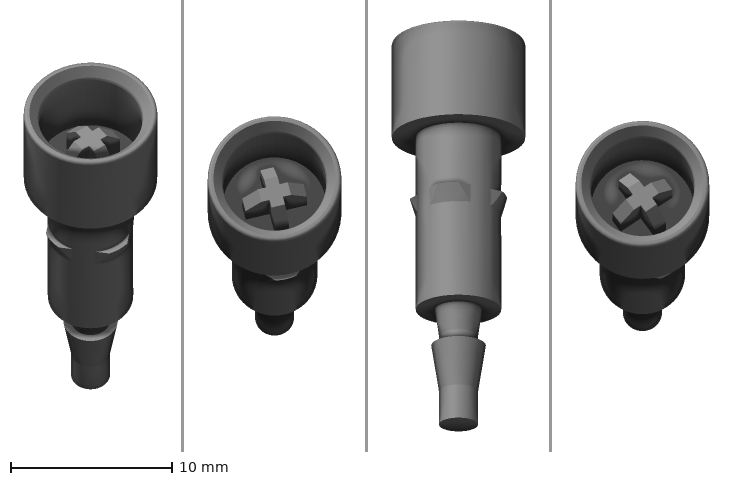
import cadquery as cq

TOTAL_HEIGHT = 25.3
COLLAR_BASE = 19.03
BODY_BASE = 7.62
NECK_TOP = 5.87
PIN_BARB_TOP = 5.24
PIN_BARB_BASE = 2.2

COLLAR_RADIUS = 4.15
BODY_RADIUS = 2.65
PIN_RADIUS = 1.21
SHOULDER_RADIUS = 1.47
PIN_BARB_RADIUS = 1.7

RIM_FILLET = 0.2
BORE_RADIUS = 3.21
BORE_DEPTH = 5.05
MOUTH_RADIUS = 3.8
MOUTH_DEPTH = 0.6
MOUTH_BLEND = 0.25

CROSS_TOP_DEPTH = 2.5
CROSS_SLOPE_DROP = 1.0
CROSS_WIDTH = 0.85
CROSS_BASE_LENGTH = 3.92
CROSS_TOP_LENGTH = 1.9

BODY_BARB_TOP = 14.98
BODY_BARB_BASE = 13.85
BODY_BARB_RADIUS = 3.0
BARB_SQUARE_SIDE = 5.1


def stepped_shaft():
    """Collar, body and barbed pin turned about the Z axis."""
    profile = (
        cq.Workplane("XZ")
        .lineTo(PIN_RADIUS, 0)
        .lineTo(PIN_RADIUS, PIN_BARB_BASE)
        .lineTo(PIN_BARB_RADIUS, PIN_BARB_TOP)
        .lineTo(PIN_RADIUS, PIN_BARB_TOP)
        .lineTo(PIN_RADIUS, NECK_TOP)
        .lineTo(SHOULDER_RADIUS, BODY_BASE)
        .lineTo(BODY_RADIUS, BODY_BASE)
        .lineTo(BODY_RADIUS, COLLAR_BASE)
        .lineTo(COLLAR_RADIUS, COLLAR_BASE)
        .lineTo(COLLAR_RADIUS, TOTAL_HEIGHT)
        .lineTo(0, TOTAL_HEIGHT)
        .close()
    )
    return profile.revolve(360, (0, 0), (0, 1)).faces(">Z").edges().fillet(RIM_FILLET)


def socket():
    """Blind bore blending into a conical mouth, as a cutting solid."""
    profile = (
        cq.Workplane("XZ")
        .moveTo(0, TOTAL_HEIGHT - BORE_DEPTH)
        .lineTo(BORE_RADIUS, TOTAL_HEIGHT - BORE_DEPTH)
        .lineTo(BORE_RADIUS, TOTAL_HEIGHT - MOUTH_DEPTH)
        .lineTo(MOUTH_RADIUS, TOTAL_HEIGHT)
        .lineTo(0, TOTAL_HEIGHT)
        .close()
    )
    mouth_edge = cq.selectors.BoxSelector(
        (-TOTAL_HEIGHT, -TOTAL_HEIGHT, TOTAL_HEIGHT - MOUTH_DEPTH - MOUTH_BLEND / 2),
        (TOTAL_HEIGHT, TOTAL_HEIGHT, TOTAL_HEIGHT - MOUTH_DEPTH + MOUTH_BLEND / 2),
        boundingbox=True,
    )
    return profile.revolve(360, (0, 0), (0, 1)).edges(mouth_edge).fillet(MOUTH_BLEND)


def cross_bar():
    """One upright bar along X with sloping shoulders at the ends of its top."""
    floor = TOTAL_HEIGHT - BORE_DEPTH
    top = TOTAL_HEIGHT - CROSS_TOP_DEPTH
    slope_base = top - CROSS_SLOPE_DROP
    profile = (
        cq.Workplane("XZ")
        .moveTo(-CROSS_BASE_LENGTH / 2, floor)
        .lineTo(CROSS_BASE_LENGTH / 2, floor)
        .lineTo(CROSS_BASE_LENGTH / 2, slope_base)
        .lineTo(CROSS_TOP_LENGTH / 2, top)
        .lineTo(-CROSS_TOP_LENGTH / 2, top)
        .lineTo(-CROSS_BASE_LENGTH / 2, slope_base)
        .close()
    )
    return profile.extrude(CROSS_WIDTH / 2, both=True)


def body_barbs():
    """Flared ring trimmed by a square, leaving a barb on each axis once joined to the body."""
    ring = (
        cq.Workplane("XZ")
        .moveTo(0, BODY_BARB_BASE)
        .lineTo(BODY_RADIUS, BODY_BARB_BASE)
        .lineTo(BODY_BARB_RADIUS, BODY_BARB_TOP)
        .lineTo(0, BODY_BARB_TOP)
        .close()
        .revolve(360, (0, 0), (0, 1))
    )
    trim = (
        cq.Workplane("XY", origin=(0, 0, BODY_BARB_BASE))
        .rect(BARB_SQUARE_SIDE, BARB_SQUARE_SIDE)
        .extrude(BODY_BARB_TOP - BODY_BARB_BASE)
        .rotate((0, 0, 0), (0, 0, 1), 45)
    )
    return ring.intersect(trim)


result = stepped_shaft().union(body_barbs()).cut(socket())
for bar_angle in (0, 90):
    result = result.union(cross_bar().rotate((0, 0, 0), (0, 0, 1), bar_angle))